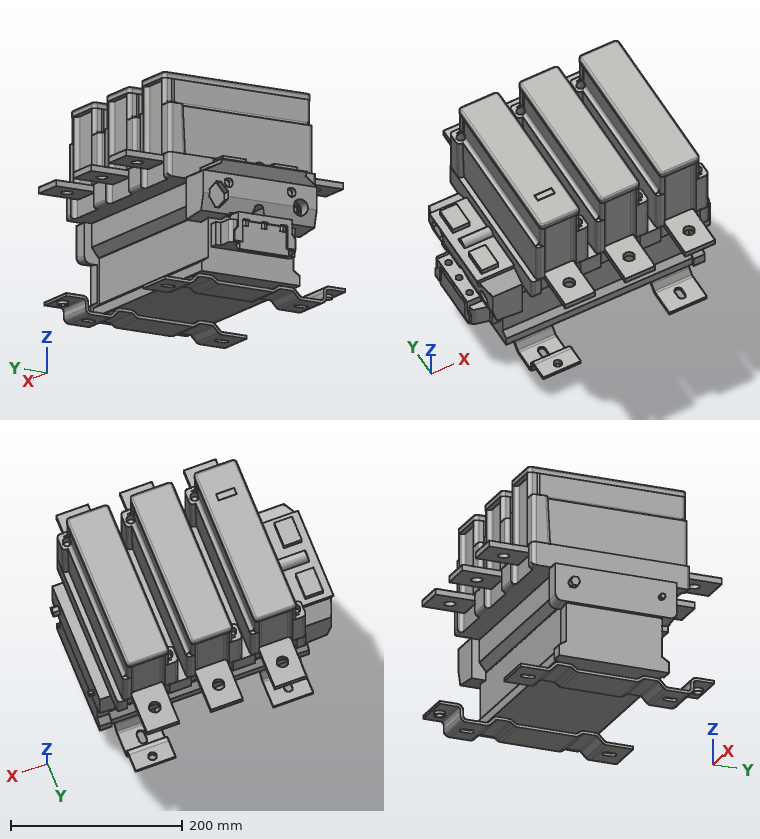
import cadquery as cq
import math


frame_bottom = 13.3
coil_chamfer_bottom = 86.7
coil_chamfer_top = 98.5
coil_top = 127.2
seam_z = 156.5
shoulder_z = 216.5
cap_bottom = 248.8
label_top = 257.5
cover_top = 256.5

pole_count = 3
base_left = 51.0
base_length = 236.5
base_half_depth = 100.3
cover_length = 76.8
pole_pitch = (base_length - cover_length) / (pole_count - 1)
first_pole_x = base_left + cover_length / 2
pole_xs = [first_pole_x + i * pole_pitch for i in range(pole_count)]
corner_radius = 4.5

upper_half_width = 26.3
lower_half_width = 31.5
top_edge_radius = 2.5
panel_half_width = 21.0
recess_depth = 6.5
lip = 0.3

boss_top_length = 20.7
boss_bottom_length = 23.8
screw_offset_x = 29.5
screw_inset_y = 12.5
screw_hole_radius = 5.3
screw_hole_depth = 12.5
screw_groove_radius = 3.7

label_length, label_width = 22.5, 8.5
label_y = -61.3

bar_length = 295.0
bar_width = 40.0
bar_thickness = 7.5
bar_hole_diameter = 13.5
bar_hole_y = 120.7

coil_right = 282.5
coil_half_depth = 67.2
side_half_depth = 77.0
frame_left = 34.7
frame_right = 297.7
frame_y = -1.2
frame_half_width = 58.0
flange_half_width = 66.5
flange_slope_top = 31.0
flange_slope_bottom = 25.0
end_plate_growth = 3.0
end_block_right = 301.0
end_block_bottom_inner = 78.0
end_block_bottom_outer = 81.5
end_block_radius = 8.0

bolt_z = 105.2
end_bolts = [(-55.0, 12.0, 309.5), (57.0, 6.8, 307.3)]

aux_lip_x = 1.2
aux_front_x = 11.5
aux_foot_x = 17.0
aux_bottom_front = 80.8
aux_bottom_back = 77.0
aux_bend_z = 101.2
aux_shoulder_z = 128.5
aux_lip_front_z = 141.5
aux_lip_side_z = 137.7
aux_top = 142.5
aux_top_half_depth = 57.5

button_top = 149.0
button_x = (11.5, 33.7)
button_length = 31.5
button_y = 34.7
ridge_start_x = 12.5
ridge_half_width = 7.7
ridge_height = 5.5

aux_hole_y, aux_hole_z = 42.7, 117.5
aux_hole_diameter = 10.8
aux_hole_depth = 7.7
port_y, port_z = 56.0, 102.0
port_half_width, port_half_height = 12.7, 15.2
port_side_flat, port_top_flat = 4.3, 2.8
port_depth = 9.3
bolt_well_y, bolt_well_z = -55.5, 101.2
bolt_well_diameter = 19.2
bolt_well_depth = 15.5
bolt_head_corners = 11.8
bolt_socket_corners = 9.0
bolt_head_height = 4.5

gap_bottom_half, gap_top_half = 40.5, 37.5
gap_top = 83.3
arch_foot_half, arch_mid_half, arch_top_half = 10.5, 8.0, 5.3
arch_mid_z, arch_shoulder_z, arch_crown_z = 85.7, 94.0, 97.0

control_face_x = 2.5
control_body_top, control_body_bottom = 71.5, 44.0
control_top = 80.8
control_top_right = 19.0
control_top_half = 36.5
leg_inner, leg_outer = 30.3, 41.2
leg_bottom = 45.5
leg_flare_bottom, leg_flare_top = 58.0, 63.8
flank_front_y, flank_back_y = 43.3, 48.3
flank_rear_y = 46.0
flank_back_x = 23.5
flange_front_y, flange_rear_y = 54.2, 53.0
control_corner_radius = 4.3
hook_half_width = 33.0
hook_bottom = 36.8
hook_tip = 3.7
hook_length = 9.3
wire_pitch = 25.5
wire_hole_x = 9.3
wire_hole_diameter = 8.0
wire_slot_width = 7.0
wire_slot_bottom, wire_slot_top = 65.5, 73.0

bracket_xs = [71.2, 253.2]
bracket_width = 50.0
strip = 3.7
strip_low = strip / 2
strip_saddle = frame_bottom - strip / 2
strip_dip = 6.2
strip_raised = 21.7 - strip / 2
bend_radius = 6.0
bracket_wall_y = 107.5
foot_end_y = 110.0
bracket_reach = 135.3
tab_hole_y = 125.0
tab_hole_diameter = 10.0
collar_diameter = 13.0
collar_bottom = 14.2
foot_slot_y = 90.5
foot_slot_length, foot_slot_width = 17.3, 9.3


def block(x0, x1, y0, y1, z0, z1):
    """Box given by its limits along each axis."""
    return cq.Workplane("XY").box(x1 - x0, y1 - y0, z1 - z0, centered=False).translate((x0, y0, z0))


def along_x(points, x0, x1):
    """Extrude a closed (Y, Z) outline from x0 to x1."""
    return cq.Workplane("YZ").workplane(offset=x0).polyline(points).close().extrude(x1 - x0)


def along_y(points, y0, y1):
    """Extrude a closed (X, Z) outline from y0 to y1."""
    return cq.Workplane("XZ").workplane(offset=-y1).polyline(points).close().extrude(y1 - y0)


def upright(x, y, diameter, z0, z1):
    """Vertical cylinder."""
    return cq.Workplane("XY").workplane(offset=z0).center(x, y).circle(diameter / 2).extrude(z1 - z0)


def rod_x(y, z, diameter, x0, x1):
    """Cylinder along X."""
    return cq.Workplane("YZ").workplane(offset=x0).center(y, z).circle(diameter / 2).extrude(x1 - x0)


def hex_x(y, z, corners, x0, x1):
    """Hexagonal bar along X."""
    return cq.Workplane("YZ").workplane(offset=x0).center(y, z).polygon(6, corners).extrude(x1 - x0)


def mirrored(points):
    """Complete an outline given for positive first coordinates with its mirror image."""
    return points + [(-u, v) for u, v in reversed(points)]


def turned(body):
    """Turn a body half a revolution about the Z axis."""
    return body.rotate((0, 0, 0), (0, 0, 1), 180)


def end_recess(half_width, z0, z1):
    """Cutter for a recess with coved sides in the -Y end of a pole."""
    face = -base_half_depth
    cutter = block(-half_width, half_width, face - recess_depth, face + recess_depth, z0, z1)
    return cutter.edges("|Z and >Y").fillet(corner_radius)


def rounded_column(half_width, half_depth, z0, z1):
    """Upright block centred on the Z axis with rounded vertical edges."""
    column = block(-half_width, half_width, -half_depth, half_depth, z0, z1)
    return column.edges("|Z").fillet(corner_radius)


def pole_cover():
    """Cover of one pole, centred on the Z axis."""
    end = base_half_depth - lip
    cap = rounded_column(upper_half_width, base_half_depth, cap_bottom, cover_top)
    cap = cap.faces(">Z").edges().fillet(top_edge_radius)
    upper = rounded_column(upper_half_width - lip, end, seam_z, cap_bottom)
    lower = rounded_column(lower_half_width, end, seam_z, shoulder_z)

    cove_start = upper_half_width - lip
    cove_edge = cove_start + corner_radius
    cove = block(cove_start, cove_edge, corner_radius - end, end - corner_radius,
                 shoulder_z, shoulder_z + corner_radius)
    cove_round = (cq.Workplane("XZ").workplane(offset=-end)
                  .center(cove_edge, shoulder_z + corner_radius).circle(corner_radius).extrude(2 * end))
    cove = cove.cut(cove_round)

    boss_outline = [(-end, seam_z), (boss_bottom_length - end, seam_z),
                    (boss_top_length - end, shoulder_z), (-end, shoulder_z)]
    boss = along_x(boss_outline, panel_half_width, cover_length / 2 - lip)
    boss = boss.faces(">X").edges("not |Y").fillet(corner_radius)

    screw_y = screw_inset_y - end
    screw = upright(screw_offset_x, screw_y, 2 * screw_hole_radius,
                    shoulder_z - screw_hole_depth, shoulder_z + corner_radius)
    groove = upright(screw_offset_x, screw_y, 2 * screw_groove_radius, shoulder_z, cap_bottom)
    panel = end_recess(panel_half_width, seam_z, cap_bottom)

    cover = cap.union(upper).union(lower)
    for part in (cove, boss):
        cover = cover.union(part).union(turned(part))
    for cutter in (screw, groove, panel):
        cover = cover.cut(cutter).cut(turned(cutter))
    return cover


def terminal_bar():
    """Flat bar through one pole with a hole at each end."""
    bar = block(-bar_width / 2, bar_width / 2, -bar_length / 2, bar_length / 2,
                seam_z - bar_thickness, seam_z)
    return bar.faces(">Z").workplane().pushPoints([(0, -bar_hole_y), (0, bar_hole_y)]).hole(bar_hole_diameter)


def base_plate():
    """Plate that carries the poles, with a recess below each end of each pole."""
    plate = block(base_left, base_left + base_length, -base_half_depth, base_half_depth, coil_top, seam_z)
    plate = plate.edges("|Z").fillet(corner_radius).intersect(plate.edges("|X and <Z").fillet(corner_radius))
    recess = end_recess(upper_half_width, coil_top, seam_z)
    for x in pole_xs:
        plate = plate.cut(recess.translate((x, 0, 0))).cut(turned(recess).translate((x, 0, 0)))
    return plate


def frame_outline(growth):
    """(Y, Z) outline of the frame, enlarged sideways by growth."""
    rise = growth / 2
    half = [(flange_half_width + growth, frame_bottom),
            (flange_half_width + growth, flange_slope_bottom + rise),
            (frame_half_width + growth, flange_slope_top + rise),
            (frame_half_width + growth, coil_chamfer_bottom)]
    return [(y + frame_y, z) for y, z in mirrored(half)]


def coil_housing():
    """Frame, coil block with sloping underside, end plate and end block."""
    coil = along_x(mirrored([(frame_half_width, coil_chamfer_bottom), (coil_half_depth, coil_chamfer_top),
                             (coil_half_depth, coil_top)]), base_left, coil_right)
    body = coil.union(along_x(frame_outline(0), frame_left, coil_right))
    body = body.union(along_x(frame_outline(end_plate_growth), coil_right, frame_right))

    end_block = along_y([(coil_right, end_block_bottom_inner), (end_block_right, end_block_bottom_outer),
                         (end_block_right, coil_top), (coil_right, coil_top)],
                        -side_half_depth, side_half_depth)
    bottom_sides = end_block.faces("<Z").edges("not |Y")
    body = body.union(bottom_sides.fillet(end_block_radius))
    for y, corners, tip in end_bolts:
        body = body.union(hex_x(y, bolt_z, corners, coil_right, tip))
    return body


def aux_block():
    """Auxiliary block with two buttons, a ridge, ports and a cut-out in its lower edge."""
    side = along_y([(base_left, aux_bottom_back), (aux_foot_x, aux_bottom_front), (aux_front_x, aux_bend_z),
                    (aux_front_x, aux_shoulder_z), (aux_lip_x, aux_lip_front_z), (aux_lip_x, aux_top),
                    (base_left, aux_top)], -side_half_depth, side_half_depth)
    front = along_x(mirrored([(side_half_depth, aux_bottom_back), (side_half_depth, aux_shoulder_z),
                              (aux_top_half_depth, aux_lip_side_z), (aux_top_half_depth, aux_top)]),
                    aux_lip_x, base_left)
    body = side.intersect(front)

    for y in (-button_y, button_y):
        body = body.union(block(*button_x, y - button_length / 2, y + button_length / 2, aux_top, button_top))
    ridge = (cq.Workplane("YZ").workplane(offset=ridge_start_x).moveTo(-ridge_half_width, aux_top)
             .threePointArc((0, aux_top + ridge_height), (ridge_half_width, aux_top)).close()
             .extrude(base_left - ridge_start_x))
    body = body.union(ridge)

    for y in (-aux_hole_y, aux_hole_y):
        body = body.cut(rod_x(y, aux_hole_z, aux_hole_diameter, aux_front_x, aux_front_x + aux_hole_depth))
    port = mirrored([(port_top_flat, -port_half_height), (port_half_width, -port_side_flat),
                     (port_half_width, port_side_flat), (port_top_flat, port_half_height)])
    port = along_x(port, aux_front_x, aux_front_x + port_depth).translate((0, port_y, port_z))
    well_floor = aux_front_x + bolt_well_depth
    head_front = well_floor - bolt_head_height
    well = rod_x(bolt_well_y, bolt_well_z, bolt_well_diameter, aux_front_x, well_floor)
    bolt = hex_x(bolt_well_y, bolt_well_z, bolt_head_corners, head_front, well_floor)
    bolt = bolt.cut(hex_x(bolt_well_y, bolt_well_z, bolt_socket_corners, head_front, well_floor))
    body = body.cut(port).cut(well).union(bolt)

    arch = [(arch_top_half, arch_shoulder_z), (arch_mid_half, arch_mid_z), (arch_foot_half, gap_top),
            (gap_top_half, gap_top), (gap_bottom_half, aux_bottom_back)]
    arch_mirror = [(-y, z) for y, z in reversed(arch)]
    cutout = (cq.Workplane("YZ").workplane(offset=aux_front_x).polyline(arch_mirror)
              .threePointArc((0, arch_crown_z), arch[0]).polyline(arch[1:], includeCurrent=True)
              .close().extrude(frame_left - aux_front_x))
    return body.cut(cutout)


def control_block():
    """Control terminal block on the front of the frame, centred on Y = 0."""
    plan = [(control_face_x, -flank_front_y), (flank_back_x, -flank_back_y), (flank_back_x, -flange_front_y),
            (frame_left, -flange_front_y), (frame_left, flange_rear_y), (flank_back_x, flange_rear_y),
            (flank_back_x, flank_rear_y), (control_face_x, flank_rear_y)]
    body = (cq.Workplane("XY").workplane(offset=control_body_bottom).polyline(plan).close()
            .extrude(control_body_top - control_body_bottom))
    body = body.edges("|Z and <X").fillet(control_corner_radius)

    head = block(0, control_top_right, -control_top_half, control_top_half, control_body_top, control_top)
    face = along_x(mirrored([(leg_inner, control_body_top), (leg_inner, leg_bottom), (leg_outer, leg_bottom),
                             (leg_outer, leg_flare_bottom), (control_top_half, leg_flare_top),
                             (control_top_half, control_top)]), 0, control_corner_radius + control_face_x)
    hook = along_y([(control_face_x, control_body_bottom), (control_face_x, hook_bottom),
                    (control_face_x + hook_tip, hook_bottom),
                    (control_face_x + hook_length, control_body_bottom)], -hook_half_width, hook_half_width)
    body = body.union(head).union(face).union(hook)

    for y in (-wire_pitch, 0, wire_pitch):
        body = body.cut(upright(wire_hole_x, y, wire_hole_diameter, wire_slot_bottom, control_top))
        body = body.cut(block(0, wire_hole_x, y - wire_slot_width / 2, y + wire_slot_width / 2,
                              wire_slot_bottom, wire_slot_top))
    return body


def bent_path(corners, radius):
    """(Y, Z) path through the given corners, each rounded with the same radius."""
    path = cq.Workplane("YZ").moveTo(*corners[0])
    for before, corner, after in zip(corners, corners[1:], corners[2:]):
        arrive = math.atan2(corner[1] - before[1], corner[0] - before[0])
        leave = math.atan2(after[1] - corner[1], after[0] - corner[0])
        setback = radius * math.tan(abs(leave - arrive) / 2)
        path = path.lineTo(corner[0] - setback * math.cos(arrive), corner[1] - setback * math.sin(arrive))
        arc_end = (corner[0] + setback * math.cos(leave), corner[1] + setback * math.sin(leave))
        path = path.tangentArcPoint(arc_end, relative=False)
    return path.lineTo(*corners[-1])


def bracket():
    """Bent sheet bracket across the frame, with its raised tab at the -Y end, centred on the Z axis."""
    slope_low, slope_high, dip_high, dip_low = 74.0, 64.5, 45.8, 38.5
    path = bent_path([(-bracket_reach, strip_raised), (-bracket_wall_y, strip_raised),
                      (-bracket_wall_y, strip_low), (-slope_low, strip_low), (-slope_high, strip_saddle),
                      (-dip_high, strip_saddle), (-dip_low, strip_dip), (dip_low, strip_dip),
                      (dip_high, strip_saddle), (slope_high, strip_saddle), (slope_low, strip_low),
                      (foot_end_y, strip_low)], bend_radius)
    body = (cq.Workplane("XZ", origin=(0, -bracket_reach, strip_raised)).rect(bracket_width, strip)
            .sweep(path, transition="right"))
    body = body.union(upright(0, -tab_hole_y, collar_diameter, collar_bottom, strip_raised))
    body = body.cut(upright(0, -tab_hole_y, tab_hole_diameter, collar_bottom, strip_raised + strip))
    slots = (cq.Workplane("XY").pushPoints([(0, -foot_slot_y), (0, foot_slot_y)])
             .slot2D(foot_slot_length, foot_slot_width, 90).extrude(strip))
    return body.cut(slots)


result = base_plate().union(coil_housing()).union(aux_block()).union(control_block())

cover = pole_cover()
bar = terminal_bar()
for x in pole_xs:
    result = result.union(cover.translate((x, 0, 0))).union(bar.translate((x, 0, 0)))

label = block(-label_length / 2, label_length / 2, -label_width / 2, label_width / 2, cap_bottom, label_top)
result = result.union(label.translate((first_pole_x, label_y, 0)))

left_bracket = bracket()
right_bracket = turned(left_bracket)
for x, body in zip(bracket_xs, (left_bracket, right_bracket)):
    result = result.union(body.translate((x, frame_y, 0)))